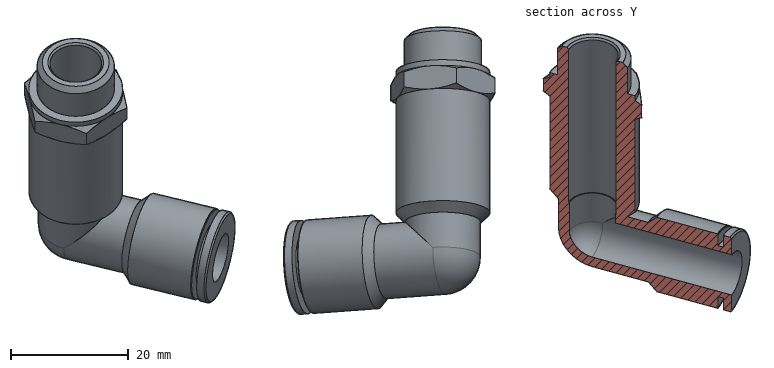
import cadquery as cq
import math

overall_length = 35.25
overall_height = 47.0

body_diameter = 16.0
elbow_diameter = 12.8
thread_diameter = 13.15
neck_diameter = 11.0
stem_bore_diameter = 8.8
elbow_bore_diameter = 8.5
body_radius = body_diameter / 2
elbow_radius = elbow_diameter / 2

hex_corner_radius = body_radius / math.cos(math.radians(30))
hex_chamfer_drop = (hex_corner_radius - body_radius) * math.tan(math.radians(30))
hex_height = 4.1

stem_top = overall_height - body_radius
thread_length = 6.4
washer_thickness = 1.0
thread_chamfer = 0.9
bore_chamfer = 0.35
washer_top = stem_top - thread_length
hex_top = washer_top - washer_thickness
hex_bottom = hex_top - hex_height
cone_length = body_radius - elbow_radius
stem_cone_start = 6.15
stem_bore_bottom = stem_cone_start

socket_end = overall_length - hex_corner_radius
sleeve_thickness = 1.6
sleeve_chamfer = 0.3
neck_length = 0.95
socket_edge_chamfer = 0.15
socket_cone_start = 10.45
sleeve_start = socket_end - sleeve_thickness
socket_body_end = sleeve_start - neck_length


def turned(profile):
    """Turn (radius, height) points around the Z axis; the profile is closed along the axis."""
    points = [(0, profile[0][1])] + profile + [(0, profile[-1][1])]
    return cq.Workplane("XZ").polyline(points).close().revolve(360, (0, 0, 0), (0, 1, 0))


def along_x(solid):
    """Swing a solid standing on the Z axis over to the +X axis."""
    return solid.rotate((0, 0, 0), (0, 1, 0), 90)


def elbow_bend(diameter, stem_length, socket_length):
    """Two crossing round legs joined by a ball at the corner."""
    stem_leg = cq.Workplane("XY").circle(diameter / 2).extrude(stem_length)
    socket_leg = cq.Workplane("YZ").circle(diameter / 2).extrude(socket_length)
    return cq.Workplane("XY").sphere(diameter / 2).union(stem_leg).union(socket_leg)


def stem():
    """Round body, washer face and chamfered thread."""
    thread_radius = thread_diameter / 2
    return turned([
        (elbow_radius, stem_cone_start),
        (body_radius, stem_cone_start + cone_length),
        (body_radius, washer_top),
        (thread_radius, washer_top),
        (thread_radius, stem_top - thread_chamfer),
        (thread_radius - thread_chamfer, stem_top),
    ])


def hexagon():
    """Hexagon with its corners chamfered at 30 degrees on both faces."""
    blank = (
        cq.Workplane("XY", origin=(0, 0, hex_bottom))
        .polygon(6, 2 * hex_corner_radius)
        .extrude(hex_height)
    )
    envelope = turned([
        (body_radius, hex_bottom),
        (hex_corner_radius, hex_bottom + hex_chamfer_drop),
        (hex_corner_radius, hex_top - hex_chamfer_drop),
        (body_radius, hex_top),
    ])
    return blank.intersect(envelope)


def tube_socket():
    """Socket body, narrow neck and release sleeve."""
    return along_x(turned([
        (elbow_radius, socket_cone_start),
        (body_radius, socket_cone_start + cone_length),
        (body_radius, socket_body_end - socket_edge_chamfer),
        (body_radius - socket_edge_chamfer, socket_body_end),
        (neck_diameter / 2, socket_body_end),
        (neck_diameter / 2, sleeve_start),
        (body_radius, sleeve_start),
        (body_radius, socket_end - sleeve_chamfer),
        (body_radius - sleeve_chamfer, socket_end),
    ]))


def stem_bore():
    """Wider bore of the stem with a chamfered mouth."""
    bore_radius = stem_bore_diameter / 2
    return turned([
        (bore_radius, stem_bore_bottom),
        (bore_radius, stem_top - bore_chamfer),
        (bore_radius + bore_chamfer, stem_top),
    ])


outside = (
    elbow_bend(elbow_diameter, stem_cone_start, socket_cone_start)
    .union(stem())
    .union(hexagon())
    .union(tube_socket())
)
passage = elbow_bend(elbow_bore_diameter, stem_cone_start, socket_end)
result = outside.cut(passage).cut(stem_bore())